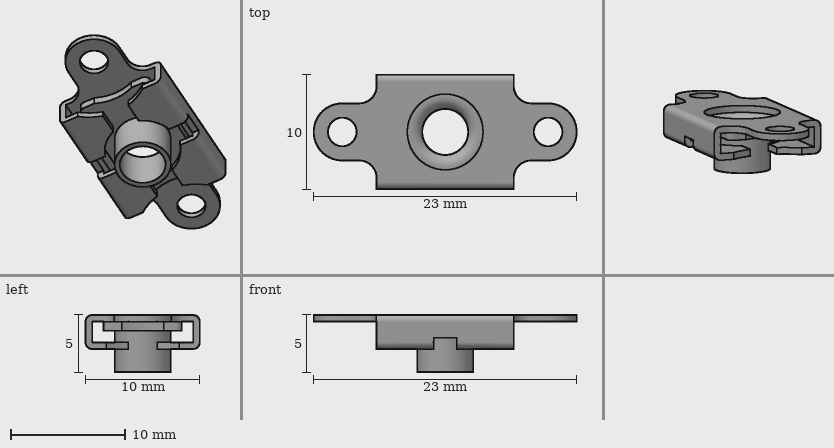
import cadquery as cq
import math

LENGTH = 23.0
WIDTH = 10.0
CHANNEL_LENGTH = 12.0
CHANNEL_HEIGHT = 3.0
SHEET = 0.6
BEND_RADIUS = 0.6
TAB_RADIUS = 2.5
TAB_HOLE_RADIUS = 1.25
TAB_FILLET = 1.5
TAB_X = LENGTH / 2 - TAB_RADIUS
LIP_GAP = 2.5
LIP_END_RADIUS = 5.05
LIP_CORNER_Y = 3.2
WINDOW_RADIUS = 3.3
SIDE_NOTCH_WIDTH = 2.0
SIDE_NOTCH_HEIGHT = 1.01

NUT_BOTTOM = -5.0
BARREL_RADIUS = 2.45
BORE_RADIUS = 2.0
BORE_ROUNDING = 1.01
FLANGE_THICKNESS = 0.8
FLANGE_LENGTH = 11.01
FLANGE_WIDTH = 6.85
FLANGE_CORNER = 0.55
FLANGE_END_CHORD = 3.68
FLANGE_END_RADIUS = 4.5

FLANGE_TOP = -SHEET


def scoop_cutter(end_x, half_chord, radius, bottom, height):
    """Two cylinders that each cut a concave arc of the given half chord at X = +/-end_x."""
    center_x = end_x + math.sqrt(radius**2 - half_chord**2)
    return (
        cq.Workplane("XY", origin=(0, 0, bottom))
        .pushPoints([(-center_x, 0), (center_x, 0)])
        .circle(radius)
        .extrude(height)
    )


def make_channel():
    """C-section channel with rounded outside folds and a gap between its lips."""
    channel = (
        cq.Workplane("XY")
        .box(CHANNEL_LENGTH, WIDTH, CHANNEL_HEIGHT, centered=(True, True, False))
        .translate((0, 0, -CHANNEL_HEIGHT))
        .edges("|X")
        .fillet(BEND_RADIUS)
    )
    cavity_height = CHANNEL_HEIGHT - 2 * SHEET
    cavity = cq.Workplane("XY").box(CHANNEL_LENGTH, WIDTH - 2 * SHEET, cavity_height)
    gap = cq.Workplane("XY").box(CHANNEL_LENGTH, LIP_GAP, SHEET)
    channel = channel.cut(cavity.translate((0, 0, -CHANNEL_HEIGHT / 2)))
    return channel.cut(gap.translate((0, 0, -CHANNEL_HEIGHT + SHEET / 2)))


def make_tabs():
    """Round-ended strip with concave fillets where it meets the channel ends."""
    strip = cq.Workplane("XY").slot2D(LENGTH, 2 * TAB_RADIUS).extrude(-SHEET)
    shoulder = cq.Workplane("XY").rect(CHANNEL_LENGTH, WIDTH - 2 * BEND_RADIUS).extrude(-SHEET)
    outline = strip.union(shoulder)
    half_length = CHANNEL_LENGTH / 2
    inner_corners = cq.selectors.BoxSelector(
        (-half_length - 0.23, -TAB_RADIUS - 0.23, -SHEET),
        (half_length + 0.23, TAB_RADIUS + 0.23, 0),
    )
    return outline.edges("|Z").edges(inner_corners).fillet(TAB_FILLET)


def make_retainer():
    body = make_channel().union(make_tabs())
    lip_scoops = scoop_cutter(CHANNEL_LENGTH / 2, LIP_CORNER_Y, LIP_END_RADIUS, -CHANNEL_HEIGHT, SHEET)
    window = cq.Workplane("XY").circle(WINDOW_RADIUS).extrude(-CHANNEL_HEIGHT)
    tab_holes = (
        cq.Workplane("XY")
        .pushPoints([(-TAB_X, 0), (TAB_X, 0)])
        .circle(TAB_HOLE_RADIUS)
        .extrude(-SHEET)
    )
    side_notches = (
        cq.Workplane("XY")
        .box(SIDE_NOTCH_WIDTH, WIDTH, SIDE_NOTCH_HEIGHT)
        .translate((0, 0, -CHANNEL_HEIGHT + SIDE_NOTCH_HEIGHT / 2))
    )
    return body.cut(lip_scoops).cut(window).cut(tab_holes).cut(side_notches)


def make_bore():
    """Through bore whose entry flares out in a quarter-round."""
    flare_radius = BORE_RADIUS + BORE_ROUNDING
    flare_bottom = FLANGE_TOP - BORE_ROUNDING
    arc_offset = BORE_ROUNDING * math.sqrt(0.5)
    arc_middle = (flare_radius - arc_offset, flare_bottom + arc_offset)
    return (
        cq.Workplane("XZ")
        .moveTo(0, NUT_BOTTOM)
        .lineTo(BORE_RADIUS, NUT_BOTTOM)
        .lineTo(BORE_RADIUS, flare_bottom)
        .threePointArc(arc_middle, (flare_radius, FLANGE_TOP))
        .lineTo(0, FLANGE_TOP)
        .close()
        .revolve(360, (0, 0, 0), (0, 1, 0))
    )


def make_nut():
    flange_bottom = FLANGE_TOP - FLANGE_THICKNESS
    flange = (
        cq.Workplane("XY", origin=(0, 0, flange_bottom))
        .rect(FLANGE_LENGTH, FLANGE_WIDTH)
        .extrude(FLANGE_THICKNESS)
        .edges("|Z")
        .fillet(FLANGE_CORNER)
    )
    end_scoops = scoop_cutter(
        FLANGE_LENGTH / 2, FLANGE_END_CHORD / 2, FLANGE_END_RADIUS, flange_bottom, FLANGE_THICKNESS
    )
    barrel = (
        cq.Workplane("XY", origin=(0, 0, NUT_BOTTOM))
        .circle(BARREL_RADIUS)
        .extrude(FLANGE_TOP - NUT_BOTTOM)
    )
    return flange.cut(end_scoops).union(barrel).cut(make_bore())


retainer = make_retainer()
nut = make_nut()
result = cq.Compound.makeCompound([retainer.val(), nut.val()])